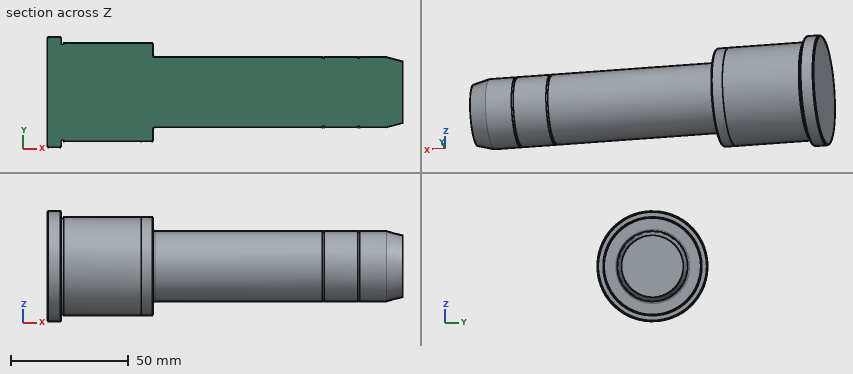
import cadquery as cq
import math

overall_length = 151.0
back_x = -overall_length / 2
front_x = overall_length / 2

flange_diameter = 47.0
flange_thickness = 6.0
flange_chamfer = 0.5

body_diameter = 42.0
body_end = 45.0
body_chamfer = 0.5
neck_diameter = 41.0
neck_width = 1.0
lead_diameter = 41.98
lead_length = 5.0

shaft_diameter = 30.0
shaft_root_fillet = 0.7
nose_length = 7.0
nose_taper_angle = 15.0

groove_width = 0.8
groove_depth = 0.4
first_groove_offset = 116.85
groove_pitch = 15.0
groove_count = 2


def disc(start, length, diameter):
    """Cylinder along X, starting a given distance from the flange face."""
    return cq.Workplane("YZ", origin=(back_x + start, 0, 0)).circle(diameter / 2).extrude(length)


def make_flange():
    flange = disc(0, flange_thickness, flange_diameter)
    return flange.edges().chamfer(flange_chamfer)


def make_body():
    neck = disc(flange_thickness, neck_width, neck_diameter)
    fit_start = flange_thickness + neck_width
    lead_start = body_end - lead_length
    fit = disc(fit_start, lead_start - fit_start, body_diameter)
    lead = disc(lead_start, lead_length, lead_diameter).faces(">X").chamfer(body_chamfer)
    return neck.union(fit).union(lead)


def make_shaft():
    """Revolved half profile: concave root fillet, straight shank and tapered nose."""
    radius = shaft_diameter / 2
    tip_radius = radius - nose_length * math.tan(math.radians(nose_taper_angle))
    root_x = back_x + body_end
    return (
        cq.Workplane("XY")
        .moveTo(root_x, 0)
        .lineTo(root_x, radius + shaft_root_fillet)
        .radiusArc((root_x + shaft_root_fillet, radius), -shaft_root_fillet)
        .lineTo(front_x - nose_length, radius)
        .lineTo(front_x, tip_radius)
        .lineTo(front_x, 0)
        .close()
        .revolve(360, (0, 0, 0), (1, 0, 0))
    )


def make_groove(start):
    """Ring cutter whose section is a circular arc sunk into the shaft surface."""
    radius = shaft_diameter / 2
    start_x = back_x + start
    return (
        cq.Workplane("XY")
        .moveTo(start_x, radius + groove_depth)
        .lineTo(start_x, radius)
        .threePointArc(
            (start_x + groove_width / 2, radius - groove_depth),
            (start_x + groove_width, radius),
        )
        .lineTo(start_x + groove_width, radius + groove_depth)
        .close()
        .revolve(360, (0, 0, 0), (1, 0, 0))
    )


result = make_flange().union(make_body()).union(make_shaft())
for groove_index in range(groove_count):
    groove = make_groove(first_groove_offset + groove_index * groove_pitch)
    result = result.cut(groove)